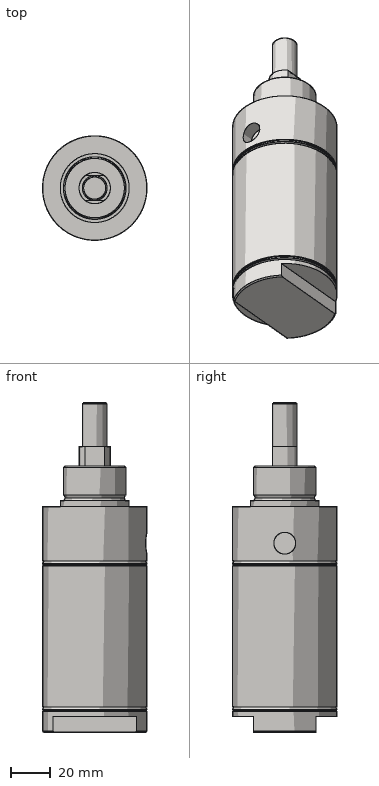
import cadquery as cq

TOTAL_HEIGHT = 166.9
BODY_DIAMETER = 52.9
BODY_TOP_Z = 114.3

LOWER_JOINT_TOP_Z = 13.0
UPPER_JOINT_TOP_Z = 86.8
JOINT_DEPTH = 0.7
TAPER_HEIGHT = 1.3
BEAD_HEIGHT = 0.2
V_GROOVE_HEIGHT = 1.0

RING_DIAMETER = 34.9
RING_TOP_Z = 117.3
COLLAR_DIAMETER = 31.7
COLLAR_BOTTOM_Z = 120.2
COLLAR_TOP_Z = 134.8
COLLAR_CHAMFER = 0.8
NECK_DIAMETER = 31.0
NECK_GROOVE_DEPTH = 0.5

TANG_WIDTH = COLLAR_DIAMETER
TANG_HEIGHT = 8.0
FOOT_CHAMFER = 0.7

PORT_DIAMETER = 11.0
PORT_DEPTH = 6.7
PORT_Z = 95.8

ROD_DIAMETER = 15.9
STUD_DIAMETER = 12.5
ROD_SHOULDER_Z = 144.7
STUD_CHAMFER = 0.7
ACROSS_FLATS = STUD_DIAMETER
ROD_SOCKET_BOTTOM_Z = BODY_TOP_Z


def disc(diameter, bottom_z, top_z):
    """Solid cylinder on the Z axis between two heights."""
    return cq.Workplane("XY").workplane(offset=bottom_z).circle(diameter / 2).extrude(top_z - bottom_z)


def side_cuts(inner_width, bottom_z, top_z):
    """Two blocks that leave a width centred on Y = 0 between two heights."""
    block_depth = (BODY_DIAMETER - inner_width) / 2
    block_offset = (BODY_DIAMETER + inner_width) / 4
    return (
        cq.Workplane("XY")
        .workplane(offset=bottom_z)
        .pushPoints([(0, -block_offset), (0, block_offset)])
        .rect(BODY_DIAMETER, block_depth)
        .extrude(top_z - bottom_z)
    )


def ring_cutter(diameter, depth, bottom_z, root_z, top_z):
    """Triangular ring that cuts a groove, deepest at root_z, into a cylinder."""
    radius = diameter / 2
    profile = [(radius, bottom_z), (radius - depth, root_z), (radius, top_z)]
    return cq.Workplane("XZ").polyline(profile).close().revolve(360, (0, 0), (0, 1))


def cut_joint(body, top_z):
    """Tapered step below the tube edge, then a narrow V groove under a thin bead."""
    taper_bottom_z = top_z - TAPER_HEIGHT
    v_top_z = taper_bottom_z - BEAD_HEIGHT
    v_bottom_z = v_top_z - V_GROOVE_HEIGHT
    v_root_z = (v_top_z + v_bottom_z) / 2
    body = body.cut(ring_cutter(BODY_DIAMETER, JOINT_DEPTH, taper_bottom_z, top_z, top_z))
    return body.cut(ring_cutter(BODY_DIAMETER, JOINT_DEPTH, v_bottom_z, v_root_z, v_top_z))


def make_nose():
    """Ring, waisted neck and chamfered collar that guide the rod."""
    ring = disc(RING_DIAMETER, BODY_TOP_Z, RING_TOP_Z)
    neck = disc(NECK_DIAMETER, RING_TOP_Z, COLLAR_BOTTOM_Z)
    waist_z = (RING_TOP_Z + COLLAR_BOTTOM_Z) / 2
    neck = neck.cut(ring_cutter(NECK_DIAMETER, NECK_GROOVE_DEPTH, RING_TOP_Z, waist_z, COLLAR_BOTTOM_Z))
    collar = disc(COLLAR_DIAMETER, COLLAR_BOTTOM_Z, COLLAR_TOP_Z).faces(">Z").chamfer(COLLAR_CHAMFER)
    return ring.union(neck).union(collar)


def make_housing():
    housing = disc(BODY_DIAMETER, 0, BODY_TOP_Z).faces("<Z").chamfer(FOOT_CHAMFER)

    for joint_top_z in (LOWER_JOINT_TOP_Z, UPPER_JOINT_TOP_Z):
        housing = cut_joint(housing, joint_top_z)

    housing = housing.union(make_nose())
    housing = housing.cut(side_cuts(TANG_WIDTH, 0, TANG_HEIGHT))

    port = (
        cq.Workplane("YZ")
        .workplane(offset=BODY_DIAMETER / 2 - PORT_DEPTH)
        .center(0, PORT_Z)
        .circle(PORT_DIAMETER / 2)
        .extrude(PORT_DEPTH)
    )
    housing = housing.cut(port)

    return housing.cut(disc(ROD_DIAMETER, ROD_SOCKET_BOTTOM_Z, COLLAR_TOP_Z))


def make_piston_rod():
    shank = disc(ROD_DIAMETER, ROD_SOCKET_BOTTOM_Z, ROD_SHOULDER_Z)
    shank = shank.cut(side_cuts(ACROSS_FLATS, COLLAR_TOP_Z, ROD_SHOULDER_Z))
    stud = disc(STUD_DIAMETER, ROD_SHOULDER_Z, TOTAL_HEIGHT).faces(">Z").chamfer(STUD_CHAMFER)
    return shank.union(stud)


housing = make_housing()
piston_rod = make_piston_rod()
result = cq.Compound.makeCompound([housing.val(), piston_rod.val()])